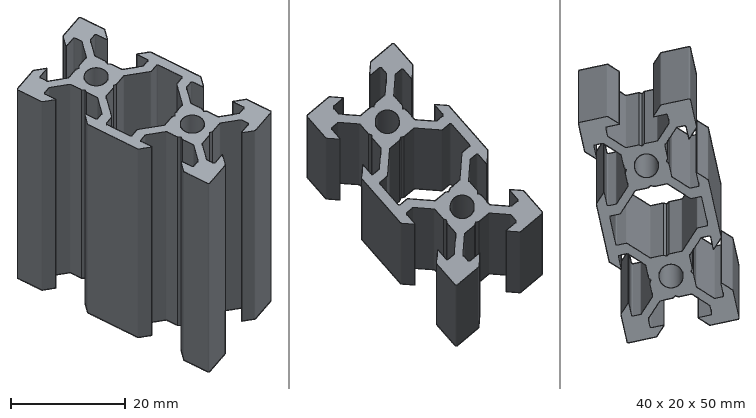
import cadquery as cq
import math

cell = 20.0
length = 50.0
half_cell = cell / 2
outer_radius = 0.3

core_half = 3.9
bore_diameter = 4.2

web_thickness = 1.5
web_offset = web_thickness / math.sqrt(2)
core_flat_half = core_half - web_offset

wall = 1.8
wall_inner = half_cell - wall
mouth_half = 4.75
lip_flat = 0.1
throat_half = mouth_half - (wall - lip_flat)
undercut_half = 5.5
inner_radius = 0.25

cavity_end = half_cell - core_half
cavity_neck_half = 2.65
cavity_shoulder = half_cell - cavity_neck_half - web_offset

groove_half = 0.5
groove_depth = 0.3
groove_clearance = 0.25


def prism(outline):
    """Full-length prism on a closed outline."""
    return cq.Workplane("XY").polyline(outline).close().extrude(length)


def turned_to_core(cutter, angle, core_x):
    """Turn a cutter that faces +Y about Z, then move it to a core."""
    return cutter.rotate((0, 0, 0), (0, 0, 1), angle).translate((core_x, 0, 0))


def slot_cutter():
    """T-slot opening toward +Y, centred on a core."""
    right_side = [
        (core_flat_half, core_half),
        (undercut_half, undercut_half + web_offset),
        (undercut_half, wall_inner),
        (throat_half, wall_inner),
        (throat_half, wall_inner + lip_flat),
        (mouth_half, half_cell),
    ]
    left_side = [(-x, y) for x, y in reversed(right_side)]
    slot = prism(right_side + left_side)
    return slot.edges("|Z and (>X or <X or <Y)").fillet(inner_radius)


def groove_cutter():
    """V groove in the +Y face of a core, reaching slightly into the open space beyond the face."""
    outline = [
        (0, core_half - groove_depth),
        (groove_half, core_half),
        (groove_half, core_half + groove_clearance),
        (-groove_half, core_half + groove_clearance),
        (-groove_half, core_half),
    ]
    return prism(outline)


def cavity_cutter():
    """Through cavity bounded by the cores, the inner webs and the two outer walls."""
    upper_right = [
        (cavity_end, core_flat_half),
        (cavity_neck_half, cavity_shoulder),
        (cavity_neck_half, wall_inner),
    ]
    upper_left = [(-x, y) for x, y in reversed(upper_right)]
    lower = [(-x, -y) for x, y in upper_right + upper_left]
    return prism(upper_right + upper_left + lower).edges("|Z").fillet(inner_radius)


result = cq.Workplane("XY").box(2 * cell, cell, length, centered=(True, True, False))

slot = slot_cutter()
for side in (-1, 1):
    for angle in (0, 180, -90 * side):
        result = result.cut(turned_to_core(slot, angle, side * half_cell))

result = result.edges("|Z and (>X or <X or >Y or <Y)").fillet(outer_radius)

result = result.cut(cavity_cutter())

groove = groove_cutter()
for core_x in (-half_cell, half_cell):
    for angle in (0, 90, 180, 270):
        result = result.cut(turned_to_core(groove, angle, core_x))

bore_centers = [(-half_cell, 0), (half_cell, 0)]
bores = cq.Workplane("XY").pushPoints(bore_centers).circle(bore_diameter / 2).extrude(length)
result = result.cut(bores)